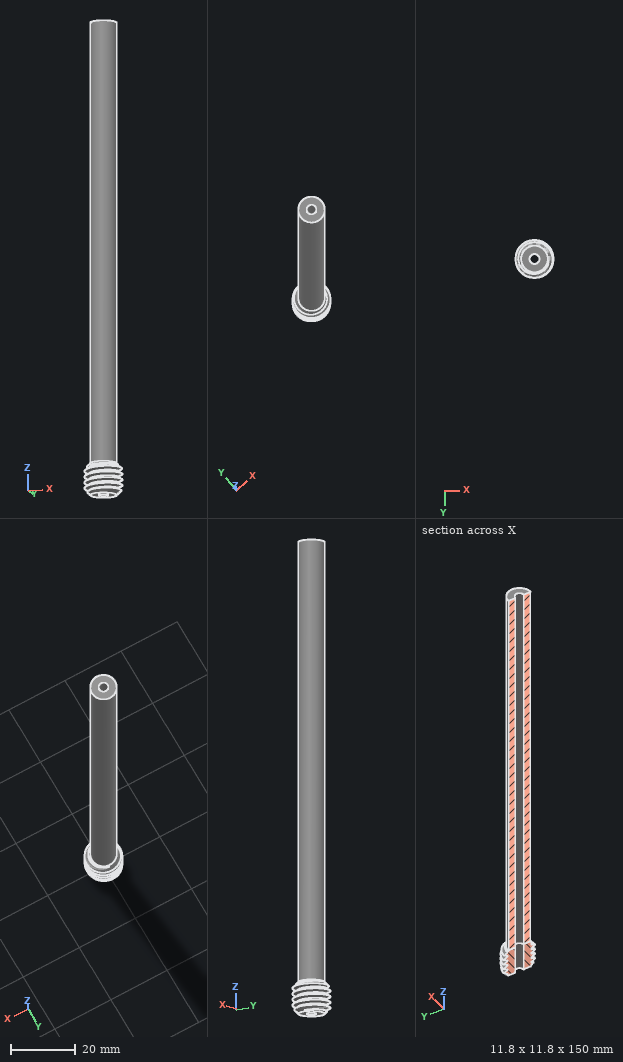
import cadquery as cq
import math

length = 150.0
bore_diameter = 3.0

tube_diameter = 8.2

stud_length = 10.0
crest_diameter = 11.8
pitch = 1.8
flank_angle = 30.0
crest_width = 0.08
tooth_depth = 1.42
crest_height_at_x = 3.0
root_overlap = 0.03
runout_turns = 3
core_overrun = 7.5

tube_radius = tube_diameter / 2
bore_radius = bore_diameter / 2
crest_radius = crest_diameter / 2
root_radius = crest_radius - tooth_depth
inner_radius = root_radius - root_overlap
inner_width = crest_width + 2 * (crest_radius - inner_radius) * math.tan(math.radians(flank_angle))
envelope_radius = crest_radius + 0.6
chamfer = envelope_radius - tube_radius


def make_tube():
    """Straight bored tube from the top face of the stud to the upper end."""
    base = cq.Workplane("XY").workplane(offset=stud_length)
    return base.circle(tube_radius).circle(bore_radius).extrude(length - stud_length)


def make_thread_ridge():
    """Right-hand helical ridge that runs past both ends of the stud."""
    start_height = crest_height_at_x - runout_turns * pitch
    helix_height = stud_length + runout_turns * pitch
    profile = [
        (inner_radius, -inner_width / 2),
        (crest_radius, -crest_width / 2),
        (crest_radius, crest_width / 2),
        (inner_radius, inner_width / 2),
    ]
    helices = [
        cq.Wire.makeHelix(pitch, helix_height, radius, center=cq.Vector(0, 0, start_height + offset))
        for radius, offset in profile
    ]
    faces = [
        cq.Face.makeRuledSurface(helix, next_helix)
        for helix, next_helix in zip(helices, helices[1:] + helices[:1])
    ]
    for end in (0, 1):
        corners = [helix.positionAt(end) for helix in helices]
        faces.append(cq.Face.makeFromWires(cq.Wire.makePolygon(corners, close=True)))
    return cq.Workplane(obj=cq.Solid.makeSolid(cq.Shell.makeShell(faces)))


def make_stud():
    """Bored stud with a full-length thread and chamfered ends."""
    envelope = cq.Workplane("XY").circle(envelope_radius).extrude(stud_length)
    envelope = envelope.faces("<Z or >Z").chamfer(chamfer)
    core = cq.Workplane("XY").workplane(offset=-core_overrun).circle(root_radius)
    core = core.extrude(stud_length + 2 * core_overrun)
    bore = cq.Workplane("XY").circle(bore_radius).extrude(stud_length)
    threaded_blank = core.union(make_thread_ridge(), clean=False)
    return threaded_blank.intersect(envelope, clean=False).cut(bore, clean=False)


tube = make_tube()
stud = make_stud()

result = cq.Compound.makeCompound([tube.val(), *stud.solids().vals()])